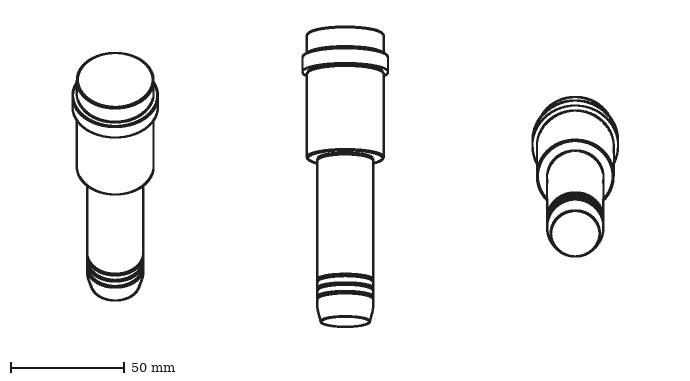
import cadquery as cq

total_length = 130.0
shaft_radius = 12.5
body_radius = 17.0
collar_radius = 19.0

nose_length = 6.9
nose_tip_radius = 10.9
nose_mid_radius = 11.8
nose_tip_chamfer = 0.3

groove_count = 3
groove_pitch = 3.9
first_groove_bottom = 10.1
groove_width = 1.2
groove_floor_width = 0.5
groove_depth = 0.3

body_bottom = total_length - 56.0
collar_bottom = total_length - 17.0
collar_top = total_length - 10.0
edge_chamfer = 0.5
collar_chamfer = 0.4

body_neck_width = 0.4
cap_neck_width = 0.5
body_neck_depth = 0.5
shaft_neck_width = 0.9
shaft_neck_depth = 0.4


def cylinder(radius, bottom, top):
    """Solid cylinder on the Z axis between two heights."""
    return cq.Workplane("XY").workplane(offset=bottom).circle(radius).extrude(top - bottom)


def nose():
    """Convex tapered tip with a chamfered end."""
    return (
        cq.Workplane("XZ")
        .lineTo(nose_tip_radius - nose_tip_chamfer, 0)
        .lineTo(nose_tip_radius, nose_tip_chamfer)
        .threePointArc((nose_mid_radius, nose_length / 2), (shaft_radius, nose_length))
        .lineTo(0, nose_length)
        .close()
        .revolve(360, (0, 0), (0, 1))
    )


def groove(bottom):
    """Ring with sloping walls that cuts one lubrication groove."""
    wall_rise = (groove_width - groove_floor_width) / 2
    floor_radius = shaft_radius - groove_depth
    outer_radius = shaft_radius + groove_depth
    top = bottom + groove_width
    return (
        cq.Workplane("XZ")
        .moveTo(outer_radius, bottom)
        .lineTo(shaft_radius, bottom)
        .lineTo(floor_radius, bottom + wall_rise)
        .lineTo(floor_radius, top - wall_rise)
        .lineTo(shaft_radius, top)
        .lineTo(outer_radius, top)
        .close()
        .revolve(360, (0, 0), (0, 1))
    )


def shaft():
    """Guide shaft with lubrication grooves and an undercut below the body."""
    core = cylinder(shaft_radius - shaft_neck_depth, nose_length, body_bottom)
    shank = cylinder(shaft_radius, nose_length, body_bottom - shaft_neck_width)
    for index in range(groove_count):
        bottom = first_groove_bottom + index * groove_pitch
        shank = shank.cut(groove(bottom))
    return core.union(shank)


def head():
    """Body, collar and cap joined by a narrower neck."""
    neck = cylinder(body_radius - body_neck_depth, body_bottom, total_length)
    body = cylinder(body_radius, body_bottom, collar_bottom - body_neck_width)
    body = body.faces("<Z or >Z").chamfer(edge_chamfer)
    collar = cylinder(collar_radius, collar_bottom, collar_top)
    collar = collar.faces(">Z").chamfer(collar_chamfer)
    cap = cylinder(body_radius, collar_top + cap_neck_width, total_length)
    cap = cap.faces("<Z or >Z").chamfer(edge_chamfer)
    return neck.union(body).union(collar).union(cap)


result = nose().union(shaft()).union(head())